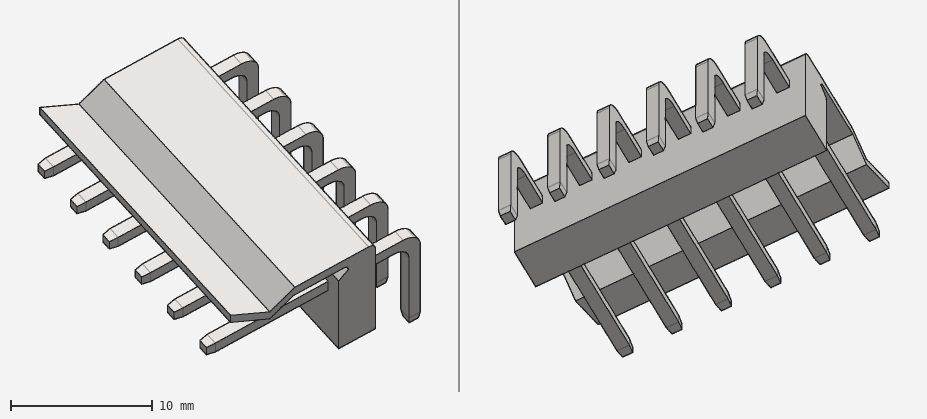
import cadquery as cq
import math


overall_height = 13.79
quarter_arc_middle = 45

pin_count = 6
pitch = 3.96
end_margin = 1.78
pin_size = 1.0
row_length = (pin_count - 1) * pitch

housing_length = row_length + 2 * end_margin
housing_depth = 3.2
housing_height = 9.53
back_corner_radius = 0.6
shoulder_height = 7.54

notch_depth = 0.85
notch_radius = 0.43

arm_thickness = 0.84
arm_flat_end = 3.8
arm_underside_flat_end = 3.92
arm_valley = 5.98
arm_valley_top = 8.32
arm_valley_bottom = shoulder_height
arm_reach = 9.38
lip_top = 10.33
lip_edge_height = 0.8

pin_axis_height = 5.75
pin_front_reach = 10.5
pin_back_reach = 8.0
tail_end = lip_top - overall_height
bend_outer_radius = 1.5
bend_inner_radius = 1.3
tip_length = 0.7
tip_size = 0.8


def point_on_arc(center_y, center_z, radius, angle_degrees):
    """Point on a circle in the YZ plane, angle measured from +Y toward +Z."""
    angle = math.radians(angle_degrees)
    return (center_y + radius * math.cos(angle), center_z + radius * math.sin(angle))


def make_housing():
    """Housing block and lock arm as one profile extruded along the row."""
    arm_underside = housing_height - arm_thickness
    notch_center_y = notch_depth - notch_radius
    notch_center_z = arm_underside - notch_radius
    corner_center_y = housing_depth - back_corner_radius
    corner_center_z = housing_height - back_corner_radius
    return (
        cq.Workplane("YZ")
        .workplane(offset=-housing_length / 2)
        .moveTo(0, 0)
        .lineTo(housing_depth, 0)
        .lineTo(housing_depth, corner_center_z)
        .threePointArc(
            point_on_arc(corner_center_y, corner_center_z, back_corner_radius, quarter_arc_middle),
            (corner_center_y, housing_height),
        )
        .lineTo(-arm_flat_end, housing_height)
        .lineTo(-arm_valley, arm_valley_top)
        .lineTo(-arm_reach, lip_top)
        .lineTo(-arm_reach, lip_top - lip_edge_height)
        .lineTo(-arm_valley, arm_valley_bottom)
        .lineTo(-arm_underside_flat_end, arm_underside)
        .lineTo(notch_center_y, arm_underside)
        .threePointArc(
            point_on_arc(notch_center_y, notch_center_z, notch_radius, quarter_arc_middle),
            (notch_depth, notch_center_z),
        )
        .lineTo(0, shoulder_height)
        .close()
        .extrude(housing_length)
    )


def make_tip(base_plane):
    """Tapered pin end growing along the normal of the given plane."""
    return (
        cq.Workplane(base_plane)
        .rect(pin_size, pin_size)
        .workplane(offset=tip_length)
        .rect(tip_size, tip_size)
        .loft(ruled=True)
    )


def make_pin():
    """One L-shaped square pin, centred on X = 0, with both ends tapered."""
    pin_top = pin_axis_height + pin_size / 2
    pin_underside = pin_top - pin_size
    tail_front = pin_back_reach - pin_size
    front_shank_end = -pin_front_reach + tip_length
    tail_shank_end = tail_end + tip_length
    outer_center_y = pin_back_reach - bend_outer_radius
    outer_center_z = pin_top - bend_outer_radius
    inner_center_y = tail_front - bend_inner_radius
    inner_center_z = pin_underside - bend_inner_radius
    shank = (
        cq.Workplane("YZ")
        .workplane(offset=-pin_size / 2)
        .moveTo(front_shank_end, pin_underside)
        .lineTo(inner_center_y, pin_underside)
        .threePointArc(
            point_on_arc(inner_center_y, inner_center_z, bend_inner_radius, quarter_arc_middle),
            (tail_front, inner_center_z),
        )
        .lineTo(tail_front, tail_shank_end)
        .lineTo(pin_back_reach, tail_shank_end)
        .lineTo(pin_back_reach, outer_center_z)
        .threePointArc(
            point_on_arc(outer_center_y, outer_center_z, bend_outer_radius, quarter_arc_middle),
            (outer_center_y, pin_top),
        )
        .lineTo(front_shank_end, pin_top)
        .close()
        .extrude(pin_size)
    )
    front_plane = cq.Plane(
        origin=(0, front_shank_end, pin_axis_height), xDir=(1, 0, 0), normal=(0, -1, 0)
    )
    tail_plane = cq.Plane(
        origin=(0, pin_back_reach - pin_size / 2, tail_shank_end), xDir=(1, 0, 0), normal=(0, 0, -1)
    )
    return shank.union(make_tip(front_plane)).union(make_tip(tail_plane))


result = make_housing()
pin = make_pin()
for index in range(pin_count):
    result = result.union(pin.translate((index * pitch - row_length / 2, 0, 0)))